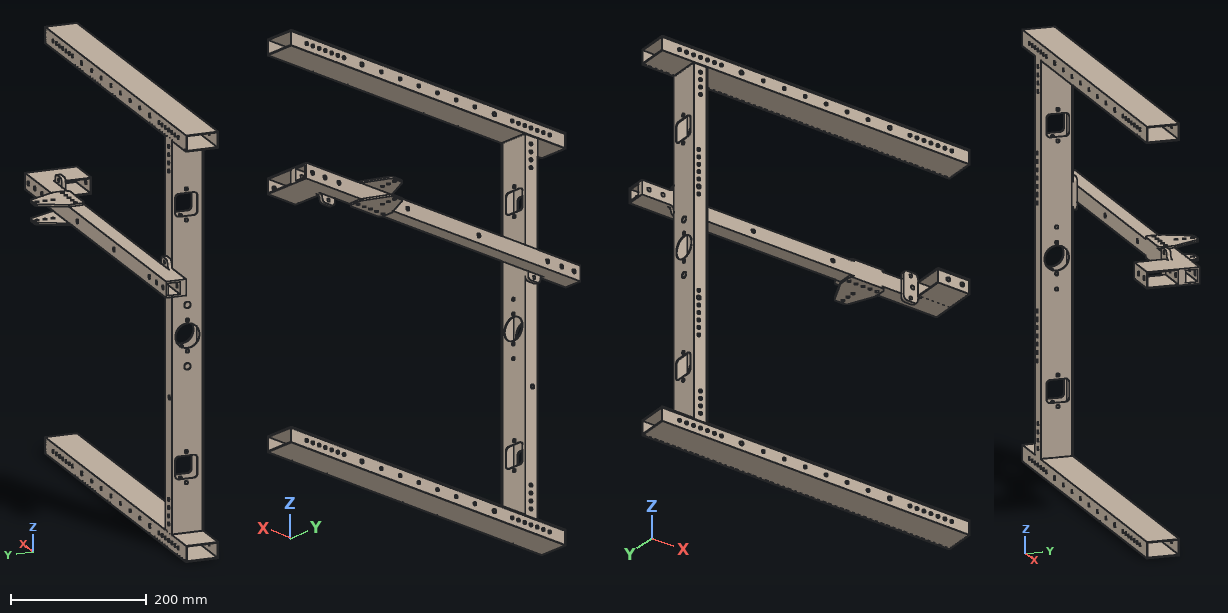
import cadquery as cq


INCH = 25.4

tube_depth = 2 * INCH
tube_height = INCH
tube_wall = INCH / 16
frame_length = 22 * INCH
frame_height = 26 * INCH
mid_x = frame_length / 2
mid_z = frame_height / 2

column_left = 2.25 * INCH
column_right = column_left + tube_height
column_x = column_left + tube_height / 2

rail_size = INCH
rail_wall = INCH / 8
rail_offset = 3.75 * INCH
rail_z = mid_z + rail_offset
mount_thickness = INCH / 4
mount_height = 2 * INCH
mount_fillet = INCH / 4
rail_front = tube_depth + mount_thickness
rail_back = rail_front + rail_size
rail_y = rail_front + rail_size / 2

bracket_x = 16.375 * INCH
bracket_thickness = INCH / 8
bracket_base = 2.5 * INCH
bracket_tip = 0.875 * INCH
bracket_back = 5 * INCH
bracket_fillet = INCH / 4

pitch = INCH / 2
bolt_hole = 5.0
tube_end_margin = 1.25 * INCH
tube_end_count = 7
tube_mid_count = 6
tube_mid_pitch = 1.5 * INCH
large_hole = 6.5
large_hole_offset = 135.0
column_group_x = column_left + 0.375 * INCH
column_group_count = 7
column_group_offset = 4.75 * INCH
column_end_count = 4
column_end_offset = 10.75 * INCH
rail_hole = 6.5
rail_mid_hole_spacing = 5.7 * INCH
rail_end_holes = (0.5 * INCH, 1.5 * INCH)
bracket_clamp_count = 5
bracket_tip_count = 3

window_size = 35.5
window_fillet = INCH / 4
window_y = 27.2
window_offset = 8 * INCH
window_screw_offset = 24.0
bore_diameter = 1.5 * INCH
bore_screw_offset = 24.0
access_hole = 10.0
access_offset = 47.5


def box(x0, x1, y0, y1, z0, z1):
    """Axis-aligned block between two opposite corners."""
    return cq.Workplane("XY").box(x1 - x0, y1 - y0, z1 - z0, centered=False).translate((x0, y0, z0))


def tube_along_x(x0, x1, y0, y1, z_centre, height, wall):
    """Hollow rectangular tube open at both X ends."""
    z0 = z_centre - height / 2
    z1 = z_centre + height / 2
    outer = box(x0, x1, y0, y1, z0, z1)
    bore = box(x0, x1, y0 + wall, y1 - wall, z0 + wall, z1 - wall)
    return outer.cut(bore)


def holes_along_x(points, diameter, x0, x1):
    """Cylinders parallel to X at the given (y, z) points."""
    return cq.Workplane("YZ").workplane(offset=x0).pushPoints(points).circle(diameter / 2).extrude(x1 - x0)


def holes_along_y(points, diameter, y0, y1):
    """Cylinders parallel to Y at the given (x, z) points."""
    plane = cq.Workplane("XZ").workplane(offset=-y1)
    return plane.pushPoints(points).circle(diameter / 2).extrude(y1 - y0)


def holes_along_z(points, diameter, z0, z1):
    """Cylinders parallel to Z at the given (x, y) points."""
    return cq.Workplane("XY").workplane(offset=z0).pushPoints(points).circle(diameter / 2).extrude(z1 - z0)


def row(centre, step, count):
    """Evenly spaced positions centred on a value."""
    return [centre + (i - (count - 1) / 2) * step for i in range(count)]


def mirrored(part):
    """The part reflected to the other end of the frame length."""
    return part.mirror("YZ", (mid_x, 0, 0))


def long_tube(z_centre):
    """Full-length frame tube with its row of holes."""
    tube = tube_along_x(0, frame_length, 0, tube_depth, z_centre, tube_height, tube_wall)
    group_reach = (tube_end_count - 1) / 2 * pitch
    group_centre = tube_end_margin + group_reach
    small = row(group_centre, pitch, tube_end_count)
    small += row(frame_length - group_centre, pitch, tube_end_count)
    small += row(mid_x, tube_mid_pitch, tube_mid_count)
    large = [mid_x - large_hole_offset, mid_x + large_hole_offset]
    tube = tube.cut(holes_along_y([(x, z_centre) for x in small], bolt_hole, 0, tube_depth))
    return tube.cut(holes_along_y([(x, z_centre) for x in large], large_hole, 0, tube_depth))


def column():
    """Upright tube between the long tubes, with bolt rows and side openings."""
    z0 = tube_height
    z1 = frame_height - tube_height
    outer = box(column_left, column_right, 0, tube_depth, z0, z1)
    bore = box(column_left + tube_wall, column_right - tube_wall, tube_wall, tube_depth - tube_wall, z0, z1)
    body = outer.cut(bore)

    group_points = []
    end_points = []
    rail_points = []
    side_points = []
    for side in (-1, 1):
        group = row(mid_z + side * column_group_offset, pitch, column_group_count)
        group_points += [(column_group_x, z) for z in group]
        rail_points.append((column_group_x, mid_z + side * rail_offset))
        end_group = row(mid_z + side * column_end_offset, pitch, column_end_count)
        end_points += [(column_x, z) for z in end_group]

        window_z = mid_z + side * window_offset
        window = box(column_left, column_right, window_y - window_size / 2, window_y + window_size / 2,
                     window_z - window_size / 2, window_z + window_size / 2)
        body = body.cut(window.edges("|X").fillet(window_fillet))
        side_points.append((window_y, window_z - window_screw_offset))
        side_points.append((window_y, window_z + window_screw_offset))
        side_points.append((tube_depth / 2, mid_z + side * bore_screw_offset))

    access_points = [(tube_depth / 2, mid_z - access_offset), (tube_depth / 2, mid_z + access_offset)]
    body = body.cut(holes_along_y(group_points, bolt_hole, 0, tube_wall))
    body = body.cut(holes_along_y(rail_points, rail_hole, 0, tube_depth))
    body = body.cut(holes_along_y(end_points, bolt_hole, 0, tube_depth))
    body = body.cut(holes_along_x(side_points + access_points, bolt_hole, column_left, column_right))
    body = body.cut(holes_along_x([(tube_depth / 2, mid_z)], bore_diameter, column_left, column_right))
    return body.cut(holes_along_x(access_points, access_hole, column_left, column_left + tube_wall))


def mounting_plate():
    """Plate between column and rail: a tall head behind the column, blended into a rail-high tail."""
    low = rail_size / 2
    high = mount_height / 2
    r = mount_fillet
    screw_offset = high - r
    upper_half = (
        cq.Workplane("XZ", origin=(0, rail_front, rail_z))
        .moveTo(0, 0)
        .lineTo(0, low)
        .lineTo(column_left - r, low)
        .tangentArcPoint((column_left, low + r), relative=False)
        .tangentArcPoint((column_left + r, high), relative=False)
        .lineTo(column_right - r, high)
        .tangentArcPoint((column_right, high - r), relative=False)
        .lineTo(column_right, 0)
        .close()
        .extrude(mount_thickness)
    )
    plate = upper_half.union(upper_half.mirror("XY", (0, 0, rail_z)))
    screws = [(column_x, rail_z - screw_offset), (column_x, rail_z + screw_offset)]
    return plate.cut(holes_along_y(screws, bolt_hole, tube_depth, rail_front))


def end_block():
    """Short piece of frame tube in front of the free end of the rail."""
    start = frame_length - column_left
    return tube_along_x(start, frame_length, 0, tube_depth, rail_z, tube_height, tube_wall)


def rail():
    """Square tube running the full length."""
    return tube_along_x(0, frame_length, rail_front, rail_back, rail_z, rail_size, rail_wall)


def bracket(z0):
    """Tapered plate with rounded ends, lying flat on one face of the rail."""
    half_base = bracket_base / 2
    half_tip = bracket_tip / 2
    outline = [
        (bracket_x - half_base, rail_front),
        (bracket_x + half_base, rail_front),
        (bracket_x + half_base, rail_back),
        (bracket_x + half_tip, bracket_back),
        (bracket_x - half_tip, bracket_back),
        (bracket_x - half_base, rail_back),
    ]
    plate = cq.Workplane("XY").workplane(offset=z0).polyline(outline).close().extrude(bracket_thickness)
    return plate.edges("|Z and (<Y or >Y)").fillet(bracket_fillet)


def rail_holes():
    """Holes through the rail, its plates, the column and the end block."""
    positions = row(mid_x, rail_mid_hole_spacing, 2)
    for margin in (*rail_end_holes, column_group_x):
        positions += [margin, frame_length - margin]
    return holes_along_y([(x, rail_z) for x in positions], rail_hole, 0, rail_back)


def bracket_holes():
    """Clamping row on the rail axis and a short row towards the bracket tips."""
    tip_centre = bracket_back - bracket_tip_count / 2 * pitch
    points = [(x, rail_y) for x in row(bracket_x, pitch, bracket_clamp_count)]
    points += [(bracket_x, y) for y in row(tip_centre, pitch, bracket_tip_count)]
    reach = rail_size / 2 + bracket_thickness
    return holes_along_z(points, bolt_hole, rail_z - reach, rail_z + reach)


mount = mounting_plate()
parts = [
    long_tube(frame_height - tube_height / 2),
    column(),
    mount,
    mirrored(mount),
    end_block(),
    rail(),
    bracket(rail_z + rail_size / 2),
    bracket(rail_z - rail_size / 2 - bracket_thickness),
]
result = long_tube(tube_height / 2)
for part in parts:
    result = result.union(part)
result = result.cut(rail_holes()).cut(bracket_holes())